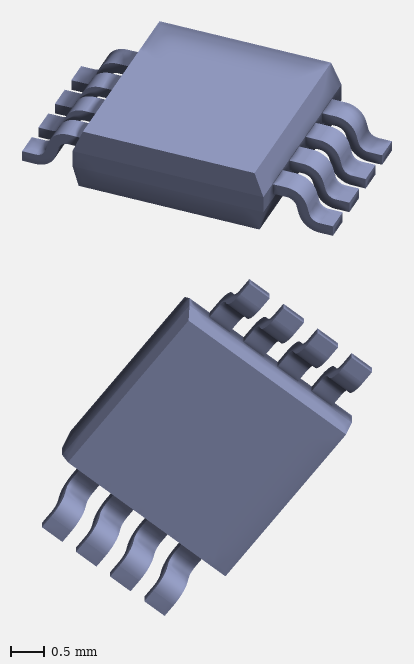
import cadquery as cq
import math

total_length = 5.05
total_height = 1.09

body_side = 3.1
body_bottom_z = 0.05
belt_bottom_z = 0.425
belt_top_z = 0.705
top_inset_x = 0.155
top_inset_y = 0.03
bottom_inset_x = 0.08
bottom_inset_y = 0.045

leads_per_side = 4
lead_pitch = 0.65
lead_width = 0.39
lead_thickness = 0.175
lead_top_z = 0.69
foot_length = 0.22
inner_bend_radius = 0.165
bend_angle = math.radians(75)

marker_diameter = 0.155
marker_depth = 0.05
marker_edge_distance = 0.475
marker_x = marker_edge_distance - body_side / 2
marker_y = lead_pitch * (leads_per_side - 1) / 2


def make_taper(belt_z, end_z, inset_x, inset_y):
    """Loft from the square belt outline to a smaller rectangle at end_z."""
    return (
        cq.Workplane("XY", origin=(0, 0, belt_z))
        .rect(body_side, body_side)
        .workplane(offset=end_z - belt_z)
        .rect(body_side - 2 * inset_x, body_side - 2 * inset_y)
        .loft(ruled=True)
    )


def make_marker():
    return (
        cq.Workplane("XY", origin=(marker_x, marker_y, total_height - marker_depth))
        .circle(marker_diameter / 2)
        .extrude(marker_depth)
    )


def make_housing(marker):
    belt = (
        cq.Workplane("XY", origin=(0, 0, belt_bottom_z))
        .rect(body_side, body_side)
        .extrude(belt_top_z - belt_bottom_z)
    )
    upper = make_taper(belt_top_z, total_height, top_inset_x, top_inset_y)
    lower = make_taper(belt_bottom_z, body_bottom_z, bottom_inset_x, bottom_inset_y)
    return belt.union(upper).union(lower).cut(marker)


def arc_point(center, radius, angle):
    """Point on a circle in the XZ plane, with the angle measured from +X towards +Z."""
    return (center[0] + radius * math.cos(angle), center[1] + radius * math.sin(angle))


def make_left_lead():
    """Lead on the -X side, centred on Y = 0, that butts against the belt."""
    outer_bend_radius = inner_bend_radius + lead_thickness
    radius_sum = inner_bend_radius + outer_bend_radius
    rise = lead_top_z - lead_thickness
    riser_length = (rise - radius_sum * (1 - math.cos(bend_angle))) / math.sin(bend_angle)
    bend_run = radius_sum * math.sin(bend_angle) + riser_length * math.cos(bend_angle)

    tip_x = -total_length / 2
    body_x = -body_side / 2
    foot_end_x = tip_x + foot_length
    shoulder_start_x = foot_end_x + bend_run

    lower_center = (foot_end_x, outer_bend_radius)
    upper_center = (shoulder_start_x, lead_top_z - outer_bend_radius)
    lower_start = -math.pi / 2
    lower_middle = lower_start + bend_angle / 2
    lower_end = lower_start + bend_angle
    upper_start = math.pi / 2 + bend_angle
    upper_middle = math.pi / 2 + bend_angle / 2
    upper_end = math.pi / 2

    profile = (
        cq.Workplane("XZ")
        .moveTo(tip_x, 0)
        .lineTo(foot_end_x, 0)
        .threePointArc(
            arc_point(lower_center, outer_bend_radius, lower_middle),
            arc_point(lower_center, outer_bend_radius, lower_end),
        )
        .lineTo(*arc_point(upper_center, inner_bend_radius, upper_start))
        .threePointArc(
            arc_point(upper_center, inner_bend_radius, upper_middle),
            arc_point(upper_center, inner_bend_radius, upper_end),
        )
        .lineTo(body_x, lead_top_z - lead_thickness)
        .lineTo(body_x, lead_top_z)
        .lineTo(shoulder_start_x, lead_top_z)
        .threePointArc(
            arc_point(upper_center, outer_bend_radius, upper_middle),
            arc_point(upper_center, outer_bend_radius, upper_start),
        )
        .lineTo(*arc_point(lower_center, inner_bend_radius, lower_end))
        .threePointArc(
            arc_point(lower_center, inner_bend_radius, lower_middle),
            arc_point(lower_center, inner_bend_radius, lower_start),
        )
        .lineTo(tip_x, lead_thickness)
        .close()
    )
    return profile.extrude(lead_width / 2, both=True)


def make_leads():
    """All leads: one row on the -X side and its mirror image on the +X side."""
    left_lead = make_left_lead()
    right_lead = left_lead.mirror("YZ")
    leads = []
    for index in range(leads_per_side):
        lead_y = lead_pitch * (index - (leads_per_side - 1) / 2)
        for lead in (left_lead, right_lead):
            leads.append(lead.translate((0, lead_y, 0)).val())
    return leads


marker = make_marker()
housing = make_housing(marker)
leads = make_leads()

result = cq.Compound.makeCompound([housing.val(), marker.val(), *leads])